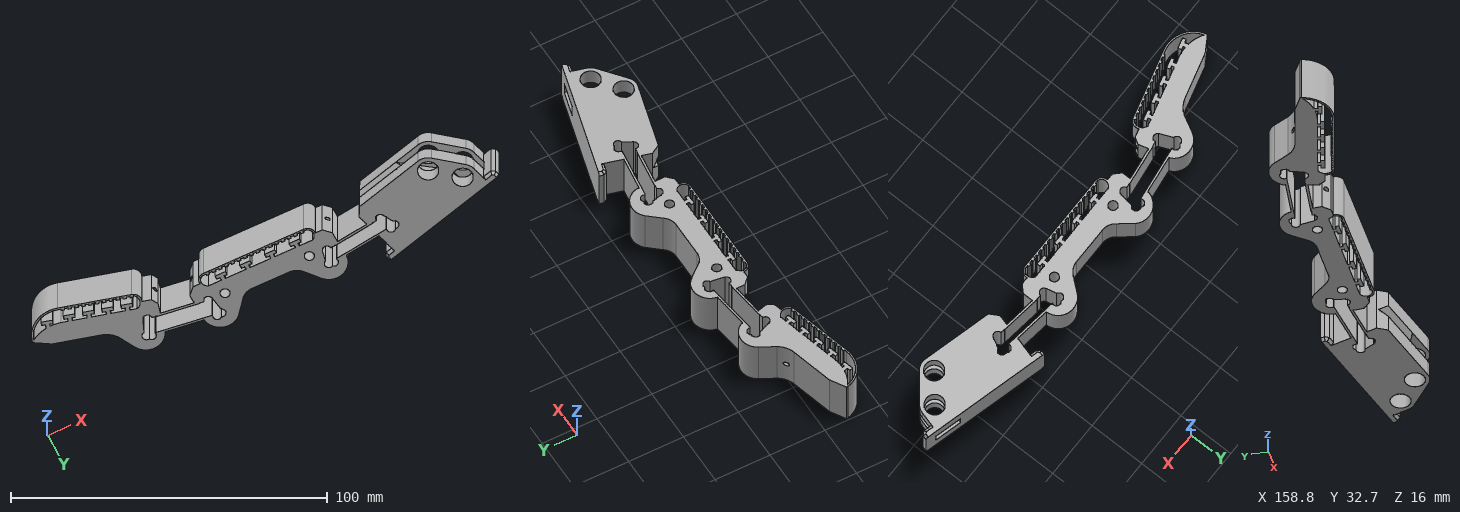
import cadquery as cq
import math


HEIGHT = 16.0
MID_Z = HEIGHT / 2
BIG = 47.7
SEGMENT_TILT = 15.0
JOINT_TILT = SEGMENT_TILT / 2

DISTAL_ORIGIN = (-55.1, -9.5)
BASE_ORIGIN = (59.3, -1.6)
MIDDLE_JOINT = (31.3, 0.5)
DISTAL_JOINT = (25.6, 3.5)

DISTAL_GAP = 2.7
BASE_GAP = 2.0
STRIP = 0.8
STRIP_REACH = 7.1
LOBE_RADIUS = 1.5
LOWER_LOBE = (10.2, 0.2)
UPPER_LOBE = (11.0, 0.6)
OUTER_LOBE = (12.5, 0.2)
POCKET_FACE_START = (1.5, -0.5)
POCKET_FACE_END = (0.5, -1.0)
POCKET_SHOULDER = 9.4

KNUCKLE_CENTER = (-12.0, 3.5)
KNUCKLE_RADIUS = 6.2
NECK_ANGLE = 137.0
MOUTH_ANGLE = -25.0
MOUTH_X = -6.0
UNDERSIDE = -8.1

SKIN = 0.6
PAD_END = -10.8
PAD_CORNER_RADIUS = 2.7
CAVITY_BULGE = 1.5
STUD_STEM = (1.5, 1.0)
STUD_HEAD = (3.7, 1.3)
TOOTH_PITCH = 2.2
TOOTH = (1.1, 0.5)

TENDON_RADIUS = 0.8

DISTAL_TOP = 4.8
DISTAL_CHAMFER = 1.7
DISTAL_NECK = ((-0.3, DISTAL_TOP), (5.1, 7.0))
NOSE_TOP_X = -16.2
NOSE_TIP = (-22.1, 3.0)
NOSE_RADIUS = 10.3
NOSE_CENTER = (-11.9, 2.5)
DISTAL_CEILING = -2.4
CEILING_RADIUS = 11.9
CEILING_CENTER = (-11.9, DISTAL_CEILING + CEILING_RADIUS)
NOSE_CAVITY_ANGLE = 183.0
DISTAL_STUDS = 4
DISTAL_STUD_PITCH = 6.2
DISTAL_STUD_START = -8.9
NOSE_STUD_X = -16.2
DISTAL_TEETH = 11
DISTAL_TEETH_CENTER = 0.8
DISTAL_TENDON = ((2.0, 5.5), (18.1, -3.2))

MIDDLE_TOP = 1.5
MIDDLE_CHAMFER = 2.4
MIDDLE_NECK = ((6.7, MIDDLE_TOP), (11.0, 3.7))
MIDDLE_CEILING = -5.7
MIDDLE_PAD_BOTTOM = -10.5
MIDDLE_STUDS = 4
MIDDLE_STUD_PITCH = 8.7
MIDDLE_TEETH = 16
PIN = (15.0, -1.0)
PIN_RADIUS = 1.6
TENDON_ENTRY = (23.8, -6.2)
TENDON_BEND = (19.0, -4.1)

BASE_TOP = 7.5
BASE_LEFT = -21.8
BASE_BOTTOM = -13.7
BASE_CHAMFER = 2.7
BOSSES = ((12.2, 0.2), (5.7, -8.9))
BOSS_RADIUS = 4.8
BORE_RADIUS = 3.3
TAB_BOTTOM = 4.8
TAB_LEFT = -25.6
TAB_RIGHT = 21.1
TAB_BEVEL = 1.0
TAB_CORNER = 1.1
SLOT_HEIGHT = 4.5
SLOT_WALL_X = 7.5
SLOT_RIGHT_X = 17.2
SLOT_FLOOR = ((-3.8, BASE_BOTTOM), (SLOT_WALL_X, 0.2))
GROOVE_DEPTH = 2.2


def shift(point, offset):
    return (point[0] + offset[0], point[1] + offset[1])


def on_circle(center, radius, angle):
    a = math.radians(angle)
    return (center[0] + radius * math.cos(a), center[1] + radius * math.sin(a))


def angle_from(center, point):
    """Direction from one point to another, from 0 to 360 degrees."""
    return math.degrees(math.atan2(point[1] - center[1], point[0] - center[0])) % 360


def place(solid, origin, angle):
    """Turn a solid about Z, then move it from its own frame to the part frame."""
    return solid.rotate((0, 0, 0), (0, 0, 1), angle).translate((origin[0], origin[1], 0))


def block(center_x, bottom, width, depth):
    """Full-height block standing on the line y = bottom."""
    solid = cq.Workplane().box(width, depth, HEIGHT, centered=(True, False, False))
    return solid.translate((center_x, bottom, 0))


def cylinders(points, radius):
    return cq.Workplane().pushPoints(points).circle(radius).extrude(HEIGHT)


def polygon(points):
    return cq.Workplane().polyline(points).close().extrude(HEIGHT)


def add_knuckle(outline, joint, chamfer, pad_bottom):
    """Continue an outline over the knuckle, down its chamfer and round the pad corner."""
    center = shift(KNUCKLE_CENTER, joint)
    mouth_x = joint[0] + MOUTH_X
    underside = joint[1] + UNDERSIDE
    corner_center = (joint[0] + PAD_END - PAD_CORNER_RADIUS, pad_bottom + PAD_CORNER_RADIUS)
    return (
        outline.lineTo(*on_circle(center, KNUCKLE_RADIUS, NECK_ANGLE))
        .threePointArc(
            on_circle(center, KNUCKLE_RADIUS, (NECK_ANGLE + MOUTH_ANGLE) / 2),
            on_circle(center, KNUCKLE_RADIUS, MOUTH_ANGLE),
        )
        .lineTo(mouth_x, joint[1])
        .lineTo(mouth_x, underside + chamfer)
        .lineTo(mouth_x - chamfer, underside)
        .lineTo(joint[0] + PAD_END, underside)
        .lineTo(*on_circle(corner_center, PAD_CORNER_RADIUS, 0))
        .threePointArc(
            on_circle(corner_center, PAD_CORNER_RADIUS, -45),
            on_circle(corner_center, PAD_CORNER_RADIUS, -90),
        )
    )


def stud(x, ceiling):
    """T-shaped stud hanging from the ceiling of a pad cavity."""
    neck = ceiling - STUD_STEM[1]
    stem = block(x, neck, STUD_STEM[0], 2 * STUD_STEM[1])
    return stem.union(block(x, neck - STUD_HEAD[1], *STUD_HEAD))


def teeth(count, center_x, pad_bottom):
    """Row of small ribs on the inner side of the pad skin."""
    row = cq.Workplane()
    for i in range(count):
        x = center_x + (i - (count - 1) / 2) * TOOTH_PITCH
        row = row.union(block(x, pad_bottom + SKIN / 2, TOOTH[0], SKIN / 2 + TOOTH[1]))
    return row


def cut_tendon_bore(body, points):
    """Drill a round bore at mid height along a chain of points."""
    for (x0, y0), (x1, y1) in zip(points, points[1:]):
        leg = cq.Vector(x1 - x0, y1 - y0, 0)
        unit = leg.normalized()
        start = cq.Vector(x0, y0, MID_Z) - unit * TENDON_RADIUS
        length = leg.Length + 2 * TENDON_RADIUS
        body = body.cut(cq.Workplane(cq.Solid.makeCylinder(TENDON_RADIUS, length, start, unit)))
    return body


def distal_segment():
    pad_bottom = NOSE_CENTER[1] - NOSE_RADIUS
    outline = (
        cq.Workplane().moveTo(NOSE_TOP_X, DISTAL_TOP)
        .lineTo(*DISTAL_NECK[0])
        .tangentArcPoint(DISTAL_NECK[1], relative=False)
    )
    body = (
        add_knuckle(outline, DISTAL_JOINT, DISTAL_CHAMFER, pad_bottom)
        .lineTo(NOSE_CENTER[0], pad_bottom)
        .threePointArc(
            on_circle(NOSE_CENTER, NOSE_RADIUS, 225),
            on_circle(NOSE_CENTER, NOSE_RADIUS, 180),
        )
        .lineTo(*NOSE_TIP)
        .close()
        .extrude(HEIGHT)
    )

    floor = pad_bottom + SKIN
    end_x = DISTAL_JOINT[0] + PAD_END - SKIN
    inner_radius = NOSE_RADIUS - SKIN
    cavity_tip = on_circle(NOSE_CENTER, inner_radius, NOSE_CAVITY_ANGLE)
    tip_angle = angle_from(CEILING_CENTER, cavity_tip)
    cavity = (
        cq.Workplane().moveTo(CEILING_CENTER[0], DISTAL_CEILING)
        .lineTo(end_x - CAVITY_BULGE, DISTAL_CEILING)
        .threePointArc((end_x, (DISTAL_CEILING + floor) / 2), (end_x - CAVITY_BULGE, floor))
        .lineTo(NOSE_CENTER[0], floor)
        .threePointArc(on_circle(NOSE_CENTER, inner_radius, 225), cavity_tip)
        .threePointArc(
            on_circle(CEILING_CENTER, CEILING_RADIUS, (tip_angle + 270) / 2),
            (CEILING_CENTER[0], DISTAL_CEILING),
        )
        .close()
        .extrude(HEIGHT)
    )
    body = body.cut(cavity)

    for i in range(DISTAL_STUDS):
        body = body.union(stud(DISTAL_STUD_START + i * DISTAL_STUD_PITCH, DISTAL_CEILING))
    nose_offset = NOSE_STUD_X - CEILING_CENTER[0]
    nose_ceiling = CEILING_CENTER[1] - math.sqrt(CEILING_RADIUS**2 - nose_offset**2)
    body = body.union(stud(NOSE_STUD_X, nose_ceiling))
    body = body.union(teeth(DISTAL_TEETH, DISTAL_TEETH_CENTER, pad_bottom))
    return cut_tendon_bore(body, DISTAL_TENDON)


def middle_segment():
    outline = (
        cq.Workplane().moveTo(0, MIDDLE_TOP)
        .lineTo(*MIDDLE_NECK[0])
        .tangentArcPoint(MIDDLE_NECK[1], relative=False)
    )
    half = (
        add_knuckle(outline, MIDDLE_JOINT, MIDDLE_CHAMFER, MIDDLE_PAD_BOTTOM)
        .lineTo(0, MIDDLE_PAD_BOTTOM)
        .close()
        .extrude(HEIGHT)
    )
    body = half.union(half.mirror("YZ"))

    floor = MIDDLE_PAD_BOTTOM + SKIN
    end_x = MIDDLE_JOINT[0] + PAD_END - SKIN
    side_x = end_x - CAVITY_BULGE
    middle_y = (MIDDLE_CEILING + floor) / 2
    cavity = (
        cq.Workplane().moveTo(-side_x, MIDDLE_CEILING)
        .lineTo(side_x, MIDDLE_CEILING)
        .threePointArc((end_x, middle_y), (side_x, floor))
        .lineTo(-side_x, floor)
        .threePointArc((-end_x, middle_y), (-side_x, MIDDLE_CEILING))
        .close()
        .extrude(HEIGHT)
    )
    body = body.cut(cavity)

    for i in range(MIDDLE_STUDS):
        x = (i - (MIDDLE_STUDS - 1) / 2) * MIDDLE_STUD_PITCH
        body = body.union(stud(x, MIDDLE_CEILING))
    body = body.union(teeth(MIDDLE_TEETH, 0, MIDDLE_PAD_BOTTOM))

    body = body.cut(cylinders([PIN, (-PIN[0], PIN[1])], PIN_RADIUS))
    right_run = [TENDON_BEND, TENDON_ENTRY]
    left_run = [(-x, y) for x, y in reversed(right_run)]
    return cut_tendon_bore(body, left_run + right_run)


def base_plate():
    """Solid outline of the base: straight edges wrapped round two bosses."""
    upper, lower = BOSSES
    slope = angle_from(lower, upper)
    right_x = upper[0] + BOSS_RADIUS
    return (
        cq.Workplane().moveTo(BASE_LEFT, BASE_TOP)
        .lineTo(right_x, BASE_TOP)
        .lineTo(right_x, upper[1])
        .threePointArc(
            on_circle(upper, BOSS_RADIUS, (slope - 90) / 2),
            on_circle(upper, BOSS_RADIUS, slope - 90),
        )
        .lineTo(*on_circle(lower, BOSS_RADIUS, slope - 90))
        .threePointArc(
            on_circle(lower, BOSS_RADIUS, (slope - 180) / 2),
            (lower[0], BASE_BOTTOM),
        )
        .lineTo(BASE_LEFT + BASE_CHAMFER, BASE_BOTTOM)
        .lineTo(BASE_LEFT, BASE_BOTTOM + BASE_CHAMFER)
        .close()
        .extrude(HEIGHT)
    )


def base_segment():
    tab_length = TAB_RIGHT - TAB_LEFT
    tabs = block((TAB_LEFT + TAB_RIGHT) / 2, TAB_BOTTOM, tab_length, BASE_TOP - TAB_BOTTOM)
    tabs = tabs.edges("|Z").edges("<Y").chamfer(TAB_CORNER)
    tabs = tabs.faces("<Z or >Z").edges("not >Y").chamfer(TAB_BEVEL)
    body = base_plate().union(tabs).cut(cylinders(BOSSES, BORE_RADIUS))

    slot = polygon([
        SLOT_FLOOR[0],
        SLOT_FLOOR[1],
        (SLOT_WALL_X, BIG),
        (SLOT_RIGHT_X, BIG),
        (SLOT_RIGHT_X, TAB_BOTTOM),
        (BIG, TAB_BOTTOM),
        (BIG, -BIG),
        (SLOT_FLOOR[0][0], -BIG),
    ])
    level = cq.Workplane().box(4 * BIG, 4 * BIG, SLOT_HEIGHT).translate((0, 0, MID_Z))
    body = body.cut(slot.intersect(level))

    groove = (
        cq.Workplane("YZ", origin=(-BIG, 0, 0))
        .moveTo(BASE_BOTTOM, MID_Z - SLOT_HEIGHT / 2)
        .lineTo(BASE_BOTTOM + GROOVE_DEPTH, MID_Z)
        .lineTo(BASE_BOTTOM, MID_Z + SLOT_HEIGHT / 2)
        .close()
        .extrude(BIG + SLOT_FLOOR[1][0])
    )
    return body.cut(groove)


def joint_pocket(gap):
    """Bone-shaped opening: the gap between the strips with lobed ends in both segments."""
    lower = (LOWER_LOBE[0], -gap - LOWER_LOBE[1])
    upper = (UPPER_LOBE[0], gap + UPPER_LOBE[1])
    outer = (OUTER_LOBE[0], gap + OUTER_LOBE[1])
    end = polygon([
        (0, -gap),
        lower,
        shift(lower, POCKET_FACE_START),
        shift(outer, POCKET_FACE_END),
        outer,
        upper,
        (POCKET_SHOULDER, gap),
        (0, gap),
    ])
    for lobe in (lower, upper, outer):
        end = end.union(cylinders([lobe], LOBE_RADIUS))
    return end.union(end.mirror("YZ"))


def flexure(gap):
    """Pair of thin strips bridging the two segments of a joint."""
    upper = block(0, gap, 2 * STRIP_REACH, STRIP)
    return upper.union(block(0, -gap - STRIP, 2 * STRIP_REACH, STRIP))


result = (
    middle_segment()
    .union(place(distal_segment(), DISTAL_ORIGIN, SEGMENT_TILT))
    .union(place(base_segment(), BASE_ORIGIN, -SEGMENT_TILT))
)
for side, gap in ((-1, DISTAL_GAP), (1, BASE_GAP)):
    joint = (side * MIDDLE_JOINT[0], MIDDLE_JOINT[1])
    tilt = -side * JOINT_TILT
    result = result.cut(place(joint_pocket(gap), joint, tilt))
    result = result.union(place(flexure(gap), joint, tilt))